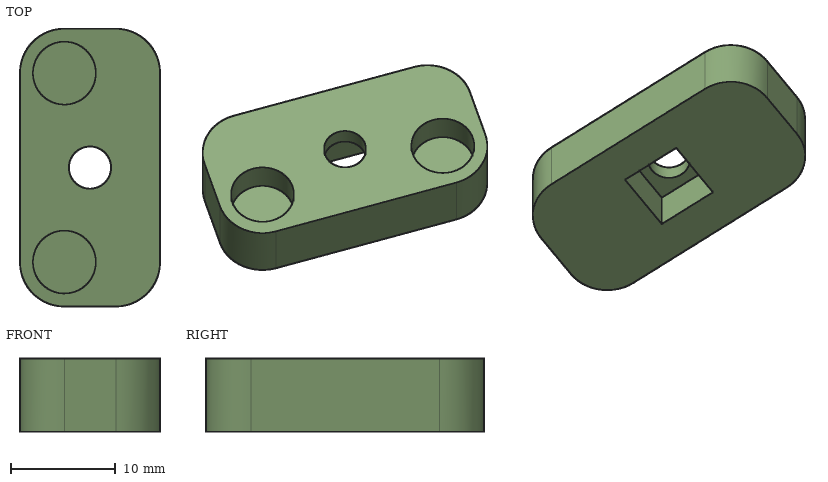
import cadquery as cq

pocket_spacing = 18.0
corner_radius = 4.25
flat_width = 4.88
width = flat_width + 2 * corner_radius
length = pocket_spacing + 2 * corner_radius
height = 7.0

pocket_diameter = 6.0
pocket_depth = 3.5
pocket_x = -flat_width / 2

hole_diameter = 4.0
roof_thickness = 2.0
recess_side = 6.0
recess_depth = height - roof_thickness


def rounded_block():
    """Block standing on Z = 0 with rounded vertical edges."""
    block = cq.Workplane("XY").box(width, length, height, centered=(True, True, False))
    return block.edges("|Z").fillet(corner_radius)


def cut_pockets(body):
    """Sink one blind pocket near each end from the top face."""
    pocket_centers = [(pocket_x, side * pocket_spacing / 2) for side in (-1, 1)]
    pockets = (
        cq.Workplane("XY", origin=(0, 0, height))
        .pushPoints(pocket_centers)
        .circle(pocket_diameter / 2)
        .extrude(-pocket_depth)
    )
    return body.cut(pockets)


def cut_central_hole(body):
    """Drill the central hole through the full height."""
    hole = cq.Workplane("XY").circle(hole_diameter / 2).extrude(height)
    return body.cut(hole)


def cut_recess(body):
    """Sink the square recess from the bottom face, leaving a roof above it."""
    recess = cq.Workplane("XY").rect(recess_side, recess_side).extrude(recess_depth)
    return body.cut(recess)


result = rounded_block()
result = cut_pockets(result)
result = cut_recess(result)
result = cut_central_hole(result)